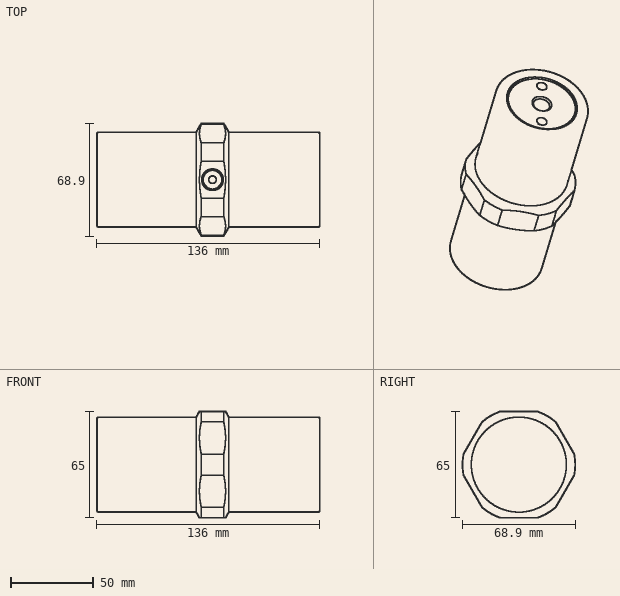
import cadquery as cq
import math

length = 136.0
body_radius = 58.0 / 2
end_fillet = 1.2

collar_start = 60.5
collar_width = 20.0
collar_center = collar_start + collar_width / 2
collar_sides = 6
across_flats = 65.0
corner_radius = 68.86 / 2
collar_chamfer_angle = 30.0

mouth_radius = 44.0 / 2
plug_radius = 42.4 / 2
mouth_chamfer = mouth_radius - plug_radius
plug_edge_chamfer = 0.3
plug_recess = mouth_chamfer - plug_edge_chamfer

inlet_diameter = 10.11
inlet_mouth_diameter = 12.2
inlet_depth = 12.0

wrench_hole_diameter = 6.2
wrench_hole_offset = 15.0
wrench_hole_depth = 6.0

port_diameter = 11.45
port_mouth_diameter = 13.16
port_depth = 11.0
port_outlet_diameter = 4.6
port_outlet_depth = 6.0

drill_point_angle = 118.0
countersink_angle = 90.0


def cone_height(radius_drop, included_angle):
    """Height of a cone over the given decrease in radius."""
    return radius_drop / math.tan(math.radians(included_angle / 2))


def make_body():
    cylinder = cq.Workplane("YZ").circle(body_radius).extrude(length)
    return cylinder.faces("<X or >X").edges().fillet(end_fillet)


def make_collar():
    across_corners = across_flats / math.cos(math.pi / collar_sides)
    hexagon = (
        cq.Workplane("YZ", origin=(collar_start, 0, 0))
        .polygon(collar_sides, across_corners)
        .extrude(collar_width)
    )
    chamfer_run = (corner_radius - body_radius) * math.tan(math.radians(collar_chamfer_angle))
    collar_end = collar_start + collar_width
    turned_envelope = (
        cq.Workplane("XY")
        .moveTo(collar_start, 0)
        .lineTo(collar_start, body_radius)
        .lineTo(collar_start + chamfer_run, corner_radius)
        .lineTo(collar_end - chamfer_run, corner_radius)
        .lineTo(collar_end, body_radius)
        .lineTo(collar_end, 0)
        .close()
        .revolve(360, (0, 0, 0), (1, 0, 0))
    )
    return hexagon.intersect(turned_envelope)


def make_bore(profile, entry, direction):
    """Tool for a round hole, from (depth, radius) points between the entry and the hole bottom."""
    bottom_depth, bottom_radius = profile[-1]
    points = [(0, 0)] + [(radius, depth) for depth, radius in profile]
    if bottom_radius > 0:
        points.append((0, bottom_depth))
    radial = cq.Vector(0, 1, 0)
    plane = cq.Plane(origin=entry, xDir=radial, normal=radial.cross(cq.Vector(direction)))
    return cq.Workplane(plane).polyline(points).close().revolve(360, (0, 0, 0), (0, 1, 0))


def make_plug_recess():
    """Plug face recess, with a V groove between the mouth chamfer and the plug's edge chamfer."""
    profile = [
        (0, mouth_radius),
        (mouth_chamfer, plug_radius),
        (plug_recess, plug_radius - plug_edge_chamfer),
    ]
    return make_bore(profile, (0, 0, 0), (1, 0, 0))


def make_inlet():
    radius = inlet_diameter / 2
    inlet_mouth_radius = inlet_mouth_diameter / 2
    profile = [
        (0, inlet_mouth_radius),
        (cone_height(inlet_mouth_radius - radius, countersink_angle), radius),
        (inlet_depth, radius),
    ]
    return make_bore(profile, (plug_recess, 0, 0), (1, 0, 0))


def make_wrench_hole(z):
    radius = wrench_hole_diameter / 2
    profile = [
        (0, radius),
        (wrench_hole_depth, radius),
        (wrench_hole_depth + cone_height(radius, drill_point_angle), 0),
    ]
    return make_bore(profile, (plug_recess, 0, z), (1, 0, 0))


def make_port():
    radius = port_diameter / 2
    port_mouth_radius = port_mouth_diameter / 2
    outlet_radius = port_outlet_diameter / 2
    cone_end = port_depth + cone_height(radius - outlet_radius, drill_point_angle)
    profile = [
        (0, port_mouth_radius),
        (cone_height(port_mouth_radius - radius, countersink_angle), radius),
        (port_depth, radius),
        (cone_end, outlet_radius),
        (cone_end + port_outlet_depth, outlet_radius),
    ]
    return make_bore(profile, (collar_center, 0, across_flats / 2), (0, 0, -1))


result = make_body().union(make_collar())
result = result.cut(make_plug_recess())
result = result.cut(make_inlet())
for side in (-1, 1):
    result = result.cut(make_wrench_hole(side * wrench_hole_offset))
result = result.cut(make_port())